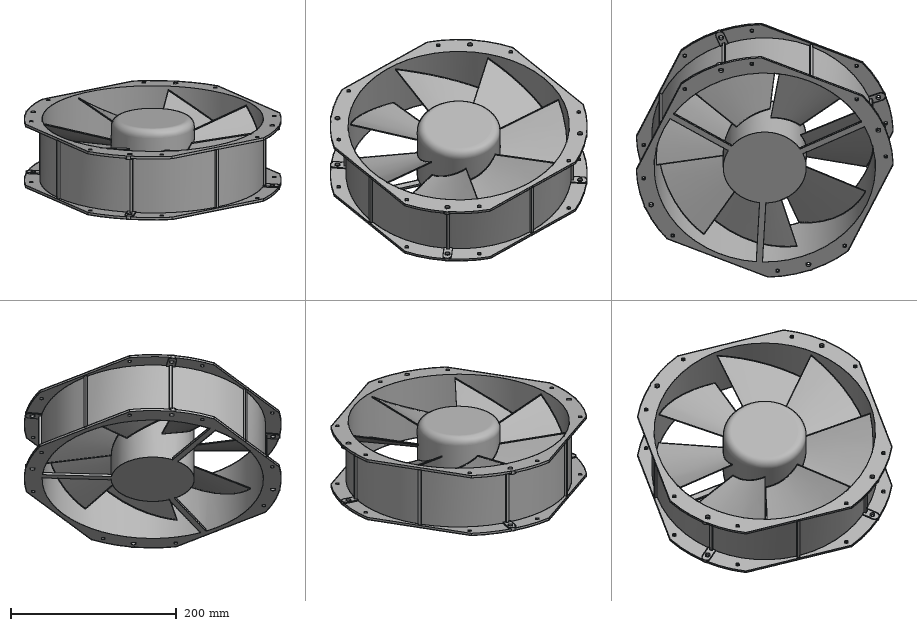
import cadquery as cq
import math

flange_side = 280.0
flange_corner_radius = 155.0
flange_thickness = 3.0
height = 80.0
bore_radius = 133.5
wall_radius = 136.5

mount_circle_radius = 147.0
corner_hole_diameter = 5.5
small_hole_diameter = 4.2
small_hole_angles = (25.0, 60.0)
corner_count = 4
quarter_turn = 360 / corner_count
corner_angle = quarter_turn / 2

rib_count = 8
rib_width = 3.5
rib_end_radius = 139.2

pad_width = 10.5
pad_end_radius = 155.7
pad_rise = 1.5

hub_radius = 50.0
hub_fillet = 9.5
strut_count = 3
strut_width = 7.5
strut_first_angle = 38.8
strut_thickness = flange_thickness

blade_count = 7
blade_first_angle = 35.3
blade_gap_angle = 1.2
blade_tip_radius = 130.8
blade_root_embed = 2.8
blade_thickness = 1.5
root_lead_z = 55.5
root_trail_z = 35.0
tip_lead_z = 76.7
tip_trail_z = 23.5
root_sag = 2.2
tip_sag = 5.5
blade_curve_steps = 8


def polar(radius, angle):
    a = math.radians(angle)
    return (radius * math.cos(a), radius * math.sin(a))


def cylinder(radius, z_low, z_high):
    return cq.Workplane("XY").workplane(offset=z_low).circle(radius).extrude(z_high - z_low)


def radial_bar(inner, outer, width, z_low, z_high, angle):
    """Straight bar lying along a radius, from the inner to the outer distance."""
    bar = cq.Workplane("XY").box(outer - inner, width, z_high - z_low, centered=(False, True, False))
    return bar.translate((inner, 0, z_low)).rotate((0, 0, 0), (0, 0, 1), angle)


def make_flange(z_low):
    square = cq.Workplane("XY").rect(flange_side, flange_side).extrude(flange_thickness)
    return square.intersect(cylinder(flange_corner_radius, 0, flange_thickness)).translate((0, 0, z_low))


def make_pad(z_low, angle):
    thickness = flange_thickness + pad_rise
    end_center = pad_end_radius - pad_width / 2
    bar = radial_bar(bore_radius, end_center, pad_width, z_low, z_low + thickness, 0)
    end = cylinder(pad_width / 2, z_low, z_low + thickness).translate((end_center, 0, 0))
    return bar.union(end).rotate((0, 0, 0), (0, 0, 1), angle)


def hole_cutter(diameter, angle):
    x, y = polar(mount_circle_radius, angle)
    return cylinder(diameter / 2, 0, height).translate((x, y, 0))


def make_housing():
    body = cylinder(wall_radius, 0, height)
    body = body.union(make_flange(0)).union(make_flange(height - flange_thickness))
    for i in range(rib_count):
        body = body.union(radial_bar(bore_radius, rib_end_radius, rib_width, 0, height, i * 360 / rib_count))
    for i in range(corner_count):
        turn = i * quarter_turn
        body = body.union(make_pad(0, corner_angle + turn))
        body = body.union(make_pad(height - flange_thickness - pad_rise, corner_angle + turn))
    body = body.cut(cylinder(bore_radius, 0, height))
    for i in range(corner_count):
        turn = i * quarter_turn
        body = body.cut(hole_cutter(corner_hole_diameter, corner_angle + turn))
        for angle in small_hole_angles:
            body = body.cut(hole_cutter(small_hole_diameter, angle + turn))
    return body


def make_hub():
    hub = cylinder(hub_radius, 0, height).faces(">Z").edges().fillet(hub_fillet)
    mid_wall = (bore_radius + wall_radius) / 2
    for i in range(strut_count):
        angle = strut_first_angle + i * 360 / strut_count
        hub = hub.union(radial_bar(0, mid_wall, strut_width, 0, strut_thickness, angle))
    return hub


def blade_curve(radius, drop):
    """Edge of the blade surface at one radius, lowered by the given drop."""
    outward = (radius - hub_radius) / (blade_tip_radius - hub_radius)
    lead_z = root_lead_z + outward * (tip_lead_z - root_lead_z)
    trail_z = root_trail_z + outward * (tip_trail_z - root_trail_z)
    sag = root_sag + outward * (tip_sag - root_sag)
    span = 360 / blade_count - blade_gap_angle
    points = []
    for i in range(blade_curve_steps + 1):
        t = i / blade_curve_steps
        x, y = polar(radius, -blade_gap_angle / 2 - t * span)
        z = lead_z + t * (trail_z - lead_z) - 4 * sag * t * (1 - t)
        points.append(cq.Vector(x, y, z - drop))
    return cq.Edge.makeSpline(points)


def make_blade():
    root_radius = hub_radius - blade_root_embed
    root_top = blade_curve(root_radius, 0)
    tip_top = blade_curve(blade_tip_radius, 0)
    root_low = blade_curve(root_radius, blade_thickness)
    tip_low = blade_curve(blade_tip_radius, blade_thickness)
    faces = [
        cq.Face.makeRuledSurface(root_top, tip_top),
        cq.Face.makeRuledSurface(root_low, tip_low),
        cq.Face.makeRuledSurface(root_top, root_low),
        cq.Face.makeRuledSurface(tip_top, tip_low),
    ]
    for end in (cq.Edge.startPoint, cq.Edge.endPoint):
        corners = [end(root_top), end(tip_top), end(tip_low), end(root_low)]
        faces.append(cq.Face.makeFromWires(cq.Wire.makePolygon(corners, close=True)))
    return cq.Workplane(cq.Solid.makeSolid(cq.Shell.makeShell(faces)))


result = make_housing().union(make_hub())
blade = make_blade()
for i in range(blade_count):
    blade_angle = blade_first_angle + i * 360 / blade_count
    result = result.union(blade.rotate((0, 0, 0), (0, 0, 1), blade_angle))